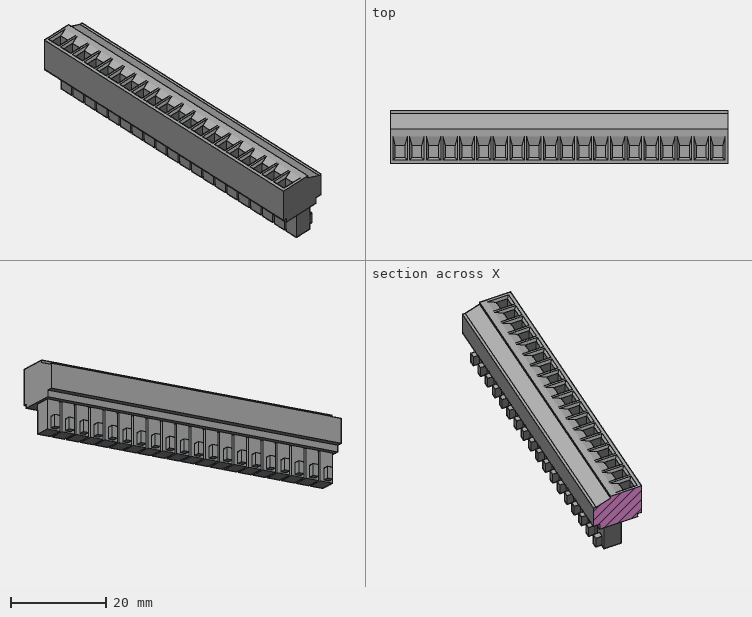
import cadquery as cq

length = 70.8
depth = 11.2
height = 15.5

pole_count = 20
end_allowance = 0.7
pitch = (length - end_allowance) / pole_count
row_center_x = -0.05

housing_bottom = 6.65
front_step_depth = 0.85
front_step_z = 7.5
rear_step_depth = 1.5
rear_step_z = 8.15
rear_ledge_depth = 0.65
rear_ledge_z = 13.65
slope_front_y = 7.2
slope_top_z = 14.95

leg_width = 3.05
leg_front_y = 4.45
leg_rear_y = 8.5
tab_width = 1.3
tab_projection = 1.5
tab_bottom_z = 0.35
tab_height = 2.6

mouth_width = 3.05
mouth_front_y = 0.8
mouth_rear_y = 5.65
mouth_depth = 0.5
hole_width = mouth_width - 2 * mouth_depth
hole_front_y = mouth_front_y + mouth_depth
hole_rear_y = 3.8
hole_depth = 5.65

pole_positions = [row_center_x + (i - (pole_count - 1) / 2) * pitch for i in range(pole_count)]


def make_housing():
    """Extrude the stepped, sloped cross-section along X, centred on X = 0."""
    rear_step_y = depth - rear_step_depth
    outline = [
        (front_step_depth, housing_bottom),
        (rear_step_y, housing_bottom),
        (rear_step_y, rear_step_z),
        (depth, rear_step_z),
        (depth, rear_ledge_z),
        (depth - rear_ledge_depth, rear_ledge_z),
        (slope_front_y, slope_top_z),
        (slope_front_y, height),
        (0, height),
        (0, front_step_z),
        (front_step_depth, front_step_z),
    ]
    return cq.Workplane("YZ").polyline(outline).close().extrude(length / 2, both=True)


def make_block(x_center, width, y_range, z_range):
    """Box of the given width centred on x_center, spanning y_range and z_range."""
    y_start, y_end = y_range
    z_start, z_end = z_range
    return (
        cq.Workplane("XY")
        .box(width, y_end - y_start, z_end - z_start, centered=(True, False, False))
        .translate((x_center, y_start, z_start))
    )


def make_leg(x_center):
    """Contact leg with its latch tab."""
    leg = make_block(x_center, leg_width, (leg_front_y, leg_rear_y), (0, housing_bottom))
    tab_y_range = (leg_rear_y, leg_rear_y + tab_projection)
    tab_z_range = (tab_bottom_z, tab_bottom_z + tab_height)
    return leg.union(make_block(x_center, tab_width, tab_y_range, tab_z_range))


def make_wire_entry(x_center):
    """Cutting body of one wire entry: tapered mouth plus straight hole."""
    mouth_center_y = (mouth_front_y + mouth_rear_y) / 2
    hole_center_y = (hole_front_y + hole_rear_y) / 2
    mouth_floor_z = height - mouth_depth
    mouth = (
        cq.Workplane("XY", origin=(x_center, mouth_center_y, height))
        .rect(mouth_width, mouth_rear_y - mouth_front_y)
        .workplane(offset=-mouth_depth)
        .center(0, hole_center_y - mouth_center_y)
        .rect(hole_width, hole_rear_y - hole_front_y)
        .loft(ruled=True)
    )
    hole_z_range = (height - hole_depth, mouth_floor_z)
    return mouth.union(make_block(x_center, hole_width, (hole_front_y, hole_rear_y), hole_z_range))


result = make_housing()
for pole_x in pole_positions:
    result = result.union(make_leg(pole_x)).cut(make_wire_entry(pole_x))